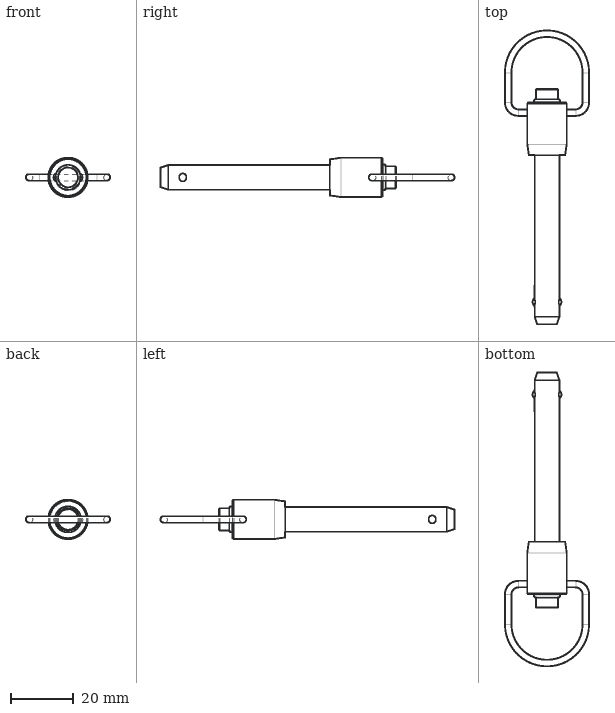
import cadquery as cq
import math

total_length = 93.9

shank_diameter = 8.0
tip_diameter = 6.3
tip_taper_length = 2.5

ball_diameter = 2.7
ball_span = 9.3
ball_y = 7.1

body_diameter = 12.7
body_nose_diameter = 11.6
body_start_y = 54.1
body_nose_length = 3.5
body_end_y = 70.9
body_chamfer = 0.4

collar_diameter = 8.4
collar_length = 1.0
button_diameter = 7.1
button_end_y = 75.2
button_chamfer = 0.3

wire_diameter = 2.2
ring_width = 27.0
corner_radius = 3.3
ring_half_width = (ring_width - wire_diameter) / 2
arch_top_y = total_length - wire_diameter / 2
arch_center_y = arch_top_y - ring_half_width
ring_bottom_y = 67.6


def make_turned_pin():
    """Shank, body, collar and button as one half profile turned about Y."""
    shank_r = shank_diameter / 2
    body_r = body_diameter / 2
    collar_r = collar_diameter / 2
    button_r = button_diameter / 2
    collar_end_y = body_end_y + collar_length
    rounding = collar_r - button_r
    round_start_y = collar_end_y - rounding
    round_mid_x = button_r + rounding * math.sqrt(0.5)
    round_mid_y = round_start_y + rounding * math.sqrt(0.5)
    profile = (
        cq.Workplane("XY")
        .moveTo(0, 0)
        .lineTo(tip_diameter / 2, 0)
        .lineTo(shank_r, tip_taper_length)
        .lineTo(shank_r, body_start_y)
        .lineTo(body_nose_diameter / 2, body_start_y)
        .lineTo(body_r, body_start_y + body_nose_length)
        .lineTo(body_r, body_end_y - body_chamfer)
        .lineTo(body_r - body_chamfer, body_end_y)
        .lineTo(collar_r, body_end_y)
        .lineTo(collar_r, round_start_y)
        .threePointArc((round_mid_x, round_mid_y), (button_r, collar_end_y))
        .lineTo(button_r, button_end_y - button_chamfer)
        .lineTo(button_r - button_chamfer, button_end_y)
        .lineTo(0, button_end_y)
        .close()
    )
    return profile.revolve(360, (0, 0, 0), (0, 1, 0))


def make_ball(side):
    """Locking ball on the +X (side = 1) or -X (side = -1) flank of the shank."""
    center_x = side * (ball_span - ball_diameter) / 2
    return cq.Workplane("XY").sphere(ball_diameter / 2).translate((center_x, ball_y, 0))


def make_ring():
    """Round wire bent into an arch whose two ends turn inward and meet in the body."""
    corner_x = ring_half_width - corner_radius
    corner_y = ring_bottom_y + corner_radius
    bend_offset = corner_radius * math.sqrt(0.5)
    bend_x = corner_x + bend_offset
    bend_y = corner_y - bend_offset
    path = (
        cq.Workplane("XY")
        .moveTo(0, ring_bottom_y)
        .lineTo(corner_x, ring_bottom_y)
        .threePointArc((bend_x, bend_y), (ring_half_width, corner_y))
        .lineTo(ring_half_width, arch_center_y)
        .threePointArc((0, arch_top_y), (-ring_half_width, arch_center_y))
        .lineTo(-ring_half_width, corner_y)
        .threePointArc((-bend_x, bend_y), (-corner_x, ring_bottom_y))
        .lineTo(0, ring_bottom_y)
    )
    section = cq.Workplane("YZ", origin=(0, ring_bottom_y, 0)).circle(wire_diameter / 2)
    return section.sweep(path)


result = make_turned_pin().union(make_ring())
for ball_side in (-1, 1):
    result = result.union(make_ball(ball_side))